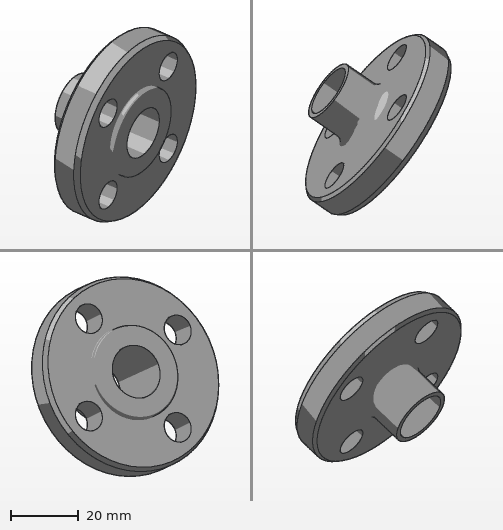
import cadquery as cq

total_length = 25.5
flange_radius = 29.5
flange_thickness = 9.6
raised_face_radius = 14.15
raised_face_height = 1.8
neck_radius = 9.5
neck_fillet = 4.0
bore_diameter = 16.0

neck_side_chamfer = 0.95
face_side_chamfer_length = 1.75
face_side_chamfer_depth = 0.95
raised_face_root_fillet = 0.35
raised_face_edge_fillet = 0.55

bolt_count = 4
bolt_hole_diameter = 8.95
bolt_circle_radius = 21.0
first_bolt_angle = 45

flange_front = total_length - raised_face_height
flange_back = flange_front - flange_thickness


def turned_body():
    """Solid of revolution from half of the section, drawn as (axial, radial)."""
    section = (
        cq.Workplane("XY")
        .moveTo(0, 0)
        .lineTo(0, neck_radius)
        .lineTo(flange_back - neck_fillet, neck_radius)
        .radiusArc((flange_back, neck_radius + neck_fillet), -neck_fillet)
        .lineTo(flange_back, flange_radius - neck_side_chamfer)
        .lineTo(flange_back + neck_side_chamfer, flange_radius)
        .lineTo(flange_front - face_side_chamfer_length, flange_radius)
        .lineTo(flange_front, flange_radius - face_side_chamfer_depth)
        .lineTo(flange_front, raised_face_radius + raised_face_root_fillet)
        .radiusArc(
            (flange_front + raised_face_root_fillet, raised_face_radius),
            -raised_face_root_fillet,
        )
        .lineTo(total_length - raised_face_edge_fillet, raised_face_radius)
        .radiusArc(
            (total_length, raised_face_radius - raised_face_edge_fillet),
            raised_face_edge_fillet,
        )
        .lineTo(total_length, 0)
        .close()
    )
    return section.revolve(360, (0, 0, 0), (1, 0, 0))


def bore():
    return cq.Workplane("YZ").circle(bore_diameter / 2).extrude(total_length)


def bolt_holes():
    return (
        cq.Workplane("YZ", origin=(flange_back, 0, 0))
        .polarArray(bolt_circle_radius, first_bolt_angle, 360, bolt_count)
        .circle(bolt_hole_diameter / 2)
        .extrude(flange_thickness)
    )


result = turned_body().cut(bore()).cut(bolt_holes())